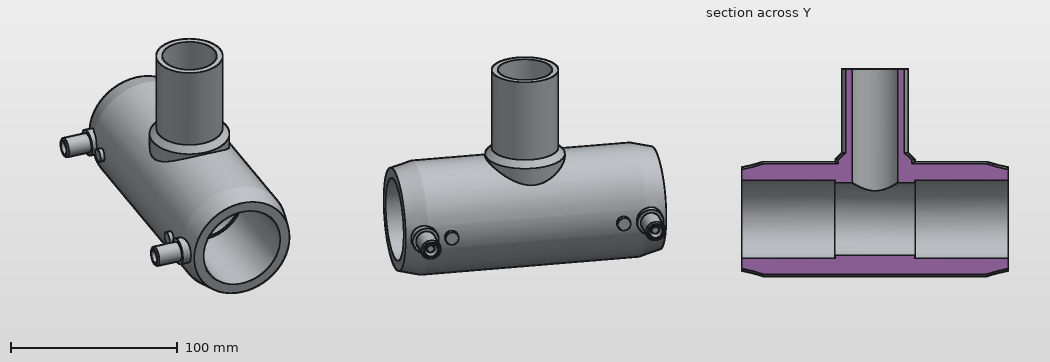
import cadquery as cq

body_length = 160.0
body_diameter = 69.0
end_taper_length = 13.1
end_diameter = 62.2
socket_diameter = 50.0
socket_depth = 56.0
bore_diameter = 47.0

branch_diameter = 40.0
branch_bore_diameter = 32.6
branch_top = 90.0
collar_diameter = 48.0
collar_top = 35.7
collar_bevel = (collar_diameter - branch_diameter) / 2

terminal_x = 69.0
terminal_diameter = 12.0
terminal_reach = 52.56
terminal_bevel = 1.0
terminal_hole_diameter = 8.0
terminal_hole_depth = 12.8
contact_diameter = 5.0
contact_height = 10.5
contact_bevel = 0.3
flange_diameter = 16.0
flange_reach = 37.1
button_x = 52.8
button_diameter = 8.0
button_reach = 37.1

post_root = (socket_diameter + end_diameter) / 4


def post(x, diameter, start, reach):
    """Round post along -Y, from start to reach away from the tube axis."""
    return (
        cq.Workplane("XZ", origin=(x, -start, 0))
        .circle(diameter / 2)
        .extrude(reach - start)
    )


def tube_body():
    """Solid round body with both ends tapered."""
    half = body_length / 2
    shoulder = half - end_taper_length
    return (
        cq.Workplane("XY")
        .moveTo(-half, 0)
        .lineTo(-half, end_diameter / 2)
        .lineTo(-shoulder, body_diameter / 2)
        .lineTo(shoulder, body_diameter / 2)
        .lineTo(half, end_diameter / 2)
        .lineTo(half, 0)
        .close()
        .revolve(360, (0, 0, 0), (1, 0, 0))
    )


def branch():
    """Solid branch pipe with a bevelled collar where it meets the body."""
    return (
        cq.Workplane("XZ")
        .lineTo(collar_diameter / 2, 0)
        .lineTo(collar_diameter / 2, collar_top)
        .lineTo(branch_diameter / 2, collar_top + collar_bevel)
        .lineTo(branch_diameter / 2, branch_top)
        .lineTo(0, branch_top)
        .close()
        .revolve(360, (0, 0, 0), (0, 1, 0))
    )


def bores():
    """Through bore, a wider socket at each end, and the branch bore."""
    cutter = cq.Workplane("YZ").circle(bore_diameter / 2).extrude(body_length / 2, both=True)
    for end_x in (-body_length / 2, body_length / 2 - socket_depth):
        socket = (
            cq.Workplane("YZ", origin=(end_x, 0, 0))
            .circle(socket_diameter / 2)
            .extrude(socket_depth)
        )
        cutter = cutter.union(socket)
    branch_bore = cq.Workplane("XY").circle(branch_bore_diameter / 2).extrude(branch_top)
    return cutter.union(branch_bore)


def terminal(x):
    """Flanged hollow terminal with a contact pin standing in its hole."""
    hole_floor = terminal_reach - terminal_hole_depth
    flange = post(x, flange_diameter, post_root, flange_reach)
    shroud = post(x, terminal_diameter, post_root, terminal_reach).faces("<Y").chamfer(terminal_bevel)
    hole = post(x, terminal_hole_diameter, hole_floor, terminal_reach)
    contact = (
        post(x, contact_diameter, post_root, hole_floor + contact_height)
        .faces("<Y")
        .chamfer(contact_bevel)
    )
    return flange.union(shroud).cut(hole).union(contact)


result = tube_body().union(branch()).cut(bores())
for side in (-1, 1):
    result = result.union(terminal(side * terminal_x))
    result = result.union(post(side * button_x, button_diameter, post_root, button_reach))